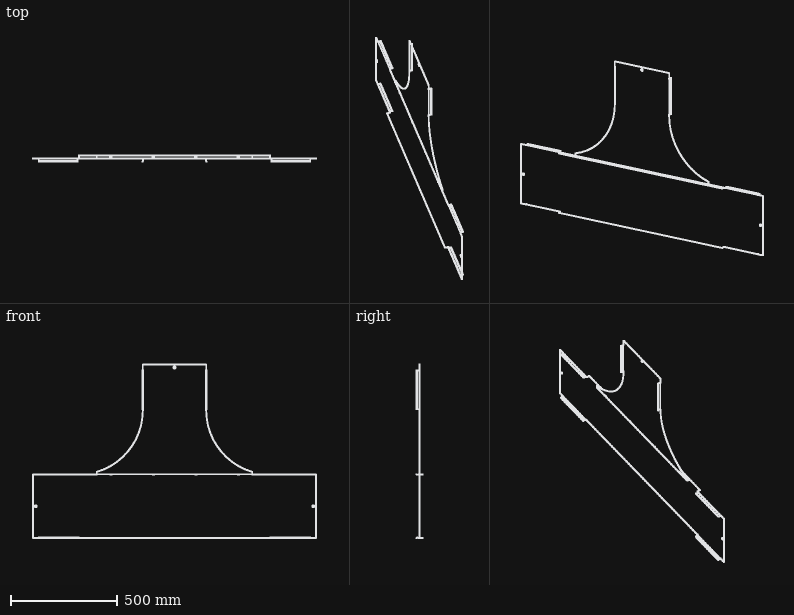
import cadquery as cq
import math

tray_width = 300.0
curve_radius = 300.0
end_length = 217.0
half_width = tray_width / 2
curve_center_x = half_width + curve_radius
curve_center_z = tray_width + curve_radius
half_run = curve_center_x + end_length
branch_top = curve_center_z + end_length

sheet = 1.2
bend_inner_radius = 0.5
bend_outer_radius = bend_inner_radius + sheet
corner_radius = 4.0

clip_shoulder_reach = 5.0
clip_shoulder_set = 1.0
clip_throat_reach = 10.5
clip_throat_set = 1.8
clip_reach = 13.71
clip_flare = 1.2
clip_end_gap = 28.0
bend_gap = 6.0
clip_length = end_length - clip_end_gap - bend_gap
clip_center = bend_gap + clip_length / 2

flange_width = 15.7
flange_reach = flange_width - sheet
joint_hole_diameter = 10.0
joint_hole_spacing = 200.0
joint_hole_count = 4

branch_tip_x = 367.0
branch_tip_drop = math.sqrt(curve_radius**2 - (curve_center_x - branch_tip_x) ** 2)
branch_tip_z = curve_center_z - branch_tip_drop

fixing_hole_diameter = 8.0
countersink_diameter = 16.0
fixing_hole_inset = 14.0

FRONT = cq.Vector(0, -1, 0)
BACK = cq.Vector(0, 1, 0)
LEFT = cq.Vector(-1, 0, 0)
RIGHT = cq.Vector(1, 0, 0)
DOWN = cq.Vector(0, 0, -1)
UP = cq.Vector(0, 0, 1)


def bent_edge(center, length, outward, bend_to, leg):
    """Bend and leg along a plate edge.

    leg lists points of the leg's outer face as (reach from the plate face, outward shift).
    """
    plate_face_y = 0 if bend_to == FRONT else sheet
    origin = cq.Vector(center[0], plate_face_y, center[1])
    section_plane = cq.Plane(origin=origin, xDir=bend_to, normal=bend_to.cross(outward))

    def bend_middle(radius):
        offset = radius * math.sin(math.pi / 4)
        return (bend_inner_radius - offset, offset - bend_outer_radius)

    section = (
        cq.Workplane(section_plane)
        .moveTo(-sheet, -bend_outer_radius)
        .threePointArc(bend_middle(bend_outer_radius), (bend_inner_radius, 0))
    )
    for reach, shift in leg:
        section = section.lineTo(reach, shift)
    for reach, shift in reversed(leg):
        section = section.lineTo(reach, shift - sheet)
    section = (
        section.lineTo(bend_inner_radius, -sheet)
        .threePointArc(bend_middle(bend_inner_radius), (0, -bend_outer_radius))
        .close()
    )
    return section.extrude(length / 2, both=True)


def clip(center, outward):
    """Snap clip: a leg that leans inward to a throat, then flares outward to its tip."""
    leg = [
        (clip_shoulder_reach, -clip_shoulder_set),
        (clip_throat_reach, -clip_throat_set),
        (clip_reach, clip_flare),
    ]
    return bent_edge(center, clip_length, outward, FRONT, leg)


def joint_flange(center, length, outward):
    return bent_edge(center, length, outward, BACK, [(flange_reach, 0)])


def edge_strip(x_min, x_max, z_min, z_max):
    """Plate material that makes way to a bend and its relief gaps."""
    size = (x_max - x_min, sheet, z_max - z_min)
    return cq.Workplane("XY").box(*size, centered=False).translate((x_min, 0, z_min))


def joint_holes():
    middle_y = (sheet + flange_width) / 2
    return (
        cq.Workplane("XY", origin=(0, middle_y, tray_width))
        .rarray(joint_hole_spacing, 1, joint_hole_count, 1)
        .circle(joint_hole_diameter / 2)
        .extrude(sheet, both=True)
    )


def fixing_hole(x, z):
    return (
        cq.Workplane("XZ", origin=(x, 0, z))
        .circle(countersink_diameter / 2)
        .workplane(offset=-sheet)
        .circle(fixing_hole_diameter / 2)
        .loft()
    )


def make_run_cover():
    cover = cq.Workplane("XZ").center(0, half_width).rect(2 * half_run, tray_width).extrude(-sheet)
    cover = cover.edges("|Y").fillet(corner_radius)
    clip_outer_x = half_run - clip_end_gap
    for z, outward in ((0, DOWN), (tray_width, UP)):
        inner_z = z - outward.z * bend_outer_radius
        cover = cover.cut(edge_strip(-clip_outer_x, clip_outer_x, min(z, inner_z), max(z, inner_z)))
        cover = cover.union(joint_flange((0, z), 2 * curve_center_x, outward))
        for side in (-1, 1):
            cover = cover.union(clip((side * (curve_center_x + clip_center), z), outward))
    for side in (-1, 1):
        cover = cover.cut(fixing_hole(side * (half_run - fixing_hole_inset), half_width))
    return cover.cut(joint_holes())


def branch_plate():
    middle_x = curve_center_x - curve_radius * math.cos(math.pi / 4)
    middle_z = curve_center_z - curve_radius * math.sin(math.pi / 4)
    return (
        cq.Workplane("XZ")
        .moveTo(-branch_tip_x, tray_width + bend_outer_radius)
        .lineTo(branch_tip_x, tray_width + bend_outer_radius)
        .lineTo(branch_tip_x, branch_tip_z)
        .threePointArc((middle_x, middle_z), (half_width, curve_center_z))
        .lineTo(half_width, branch_top)
        .lineTo(-half_width, branch_top)
        .lineTo(-half_width, curve_center_z)
        .threePointArc((-middle_x, middle_z), (-branch_tip_x, branch_tip_z))
        .close()
        .extrude(-sheet)
    )


def make_branch_cover():
    cover = branch_plate().edges("|Y and >Z").fillet(corner_radius)
    cover = cover.union(joint_flange((0, tray_width), 2 * branch_tip_x, DOWN))
    for side, outward in ((-1, LEFT), (1, RIGHT)):
        edge_x = side * half_width
        inner_x = edge_x - side * bend_outer_radius
        strip_x = (min(edge_x, inner_x), max(edge_x, inner_x))
        cover = cover.cut(edge_strip(*strip_x, curve_center_z, branch_top - clip_end_gap))
        cover = cover.union(clip((edge_x, curve_center_z + clip_center), outward))
    cover = cover.cut(fixing_hole(0, branch_top - fixing_hole_inset))
    return cover.cut(joint_holes())


run_cover = make_run_cover()
branch_cover = make_branch_cover()
result = cq.Compound.makeCompound([run_cover.val(), branch_cover.val()])